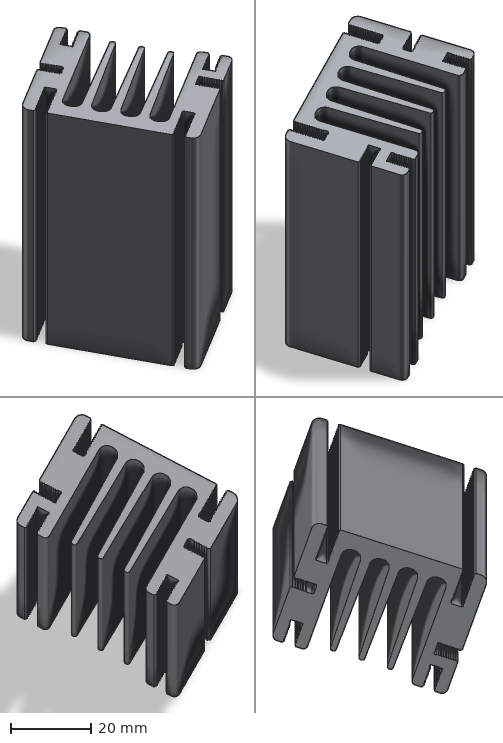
import cadquery as cq

length = 75.0
width = 46.0
height = 33.0
half_width = width / 2

post_width = 9.2
post_outer_radius = 1.5
post_inner_radius = 1.2
foot_radius = 2.0

base_thickness = 4.05
fin_pitch = 7.5
fin_count = 3
fin_tip_drop = 1.95
fin_tip_width = 1.5
fin_root_width = 2.55
fin_tip_radius = 0.7
channel_radius = 2.25

mouth_flare = 0.19
cut_overshoot = 0.75

wide_crest_gap = 2.6
wide_tooth_depth = 0.3
wide_tooth_pitch = 0.64
wide_first_tooth = 0.5
wide_stagger = wide_tooth_pitch / 2

post_slot_depth = 6.4
post_slot_teeth = 8
right_slot_y = 22.05

foot_slot_depth = 9.6
foot_slot_outer_teeth = 14
foot_slot_inner_teeth = 13
foot_slot_floor_bevel = 0.3
foot_slot_inset = 5.2

narrow_crest_gap = 2.2
narrow_tooth_depth = 0.26
narrow_tooth_pitch = 0.7
narrow_first_tooth = 0.75
narrow_slot_depth = 6.15
narrow_slot_teeth = 6
narrow_slot_floor_bevel = 0.4
narrow_slot_y = 17.0


def body():
    """Solid block with rounded long edges."""
    block = cq.Workplane("XY").box(width, height, length, centered=(True, False, False))
    block = block.edges("|Z and >Y").fillet(post_outer_radius)
    return block.edges("|Z and <Y").fillet(foot_radius)


def fin(x):
    """Tapered fin standing on the base, rounded at its tip."""
    tip_y = height - fin_tip_drop
    outline = [
        (x - fin_root_width / 2, base_thickness),
        (x + fin_root_width / 2, base_thickness),
        (x + fin_tip_width / 2, tip_y),
        (x - fin_tip_width / 2, tip_y),
    ]
    blade = cq.Workplane("XY").polyline(outline).close().extrude(length)
    return blade.edges("|Z and >Y").fillet(fin_tip_radius)


def fin_bay():
    """Space between the posts, less the fins, with rounded channel floors."""
    bay_width = width - 2 * post_width
    bay = (
        cq.Workplane("XY")
        .center(0, base_thickness)
        .box(bay_width, height - base_thickness, length, centered=(True, False, False))
    )
    for index in range(fin_count):
        bay = bay.cut(fin((index - (fin_count - 1) / 2) * fin_pitch))
    return bay.edges("|Z and <Y").fillet(channel_radius)


def round_inner_post_corners(part):
    """Round the top corner of each post that faces the fins."""
    for side in (-1, 1):
        corner = (side * (half_width - post_width), height, length / 2)
        part = part.edges(cq.selectors.NearestToPointSelector(corner)).fillet(post_inner_radius)
    return part


def serrated_wall(depth, crest, tooth_depth, pitch, first_tooth, teeth, floor_bevel):
    """One slot wall from mouth to floor as (distance inward, distance from slot axis)."""
    root = crest + tooth_depth
    points = [(-cut_overshoot, root + mouth_flare), (0, root + mouth_flare)]
    for index in range(teeth):
        tooth = first_tooth + index * pitch
        points.append((tooth, crest))
        points.append((tooth + pitch / 2, root))
    points.append((depth - floor_bevel, root))
    if floor_bevel > 0:
        points.append((depth, root - floor_bevel))
    return points


def slot_cutter(left_wall, right_wall, mouth, inward_angle):
    """Slot between two walls, named as seen when looking inward from the mouth."""
    outline = left_wall + [(inward, -across) for inward, across in reversed(right_wall)]
    slot = cq.Workplane("XY").polyline(outline).close().extrude(length)
    return slot.rotate((0, 0, 0), (0, 0, 1), inward_angle).translate((*mouth, 0))


def wide_wall(depth, first_tooth, teeth, floor_bevel=0):
    """Wall of a wide slot."""
    return serrated_wall(
        depth, wide_crest_gap / 2, wide_tooth_depth, wide_tooth_pitch, first_tooth, teeth, floor_bevel
    )


def narrow_wall(first_tooth):
    """Wall of the narrow slot."""
    return serrated_wall(
        narrow_slot_depth,
        narrow_crest_gap / 2,
        narrow_tooth_depth,
        narrow_tooth_pitch,
        first_tooth,
        narrow_slot_teeth,
        narrow_slot_floor_bevel,
    )


def narrow_side_slot():
    """Narrow slot in the -X face."""
    upper = narrow_wall(narrow_first_tooth - narrow_tooth_pitch / 2)
    lower = narrow_wall(narrow_first_tooth)
    return slot_cutter(upper, lower, (-half_width, narrow_slot_y), 0)


def wide_side_slot():
    """Wide slot in the +X face; its upper wall has one more tooth."""
    lower = wide_wall(post_slot_depth, wide_first_tooth, post_slot_teeth)
    upper = wide_wall(post_slot_depth, wide_first_tooth - wide_stagger, post_slot_teeth + 1)
    return slot_cutter(lower, upper, (half_width, right_slot_y), 180)


def left_post_slots():
    """Slots in the top and the foot of the -X post."""
    top_outer = wide_wall(post_slot_depth, wide_first_tooth, post_slot_teeth)
    top_inner = wide_wall(post_slot_depth, wide_first_tooth + wide_stagger, post_slot_teeth)
    top_slot = slot_cutter(top_inner, top_outer, (-half_width + post_width / 2, height), -90)

    foot_outer = wide_wall(foot_slot_depth, wide_first_tooth, foot_slot_outer_teeth, foot_slot_floor_bevel)
    foot_inner = wide_wall(
        foot_slot_depth, wide_first_tooth - wide_stagger, foot_slot_inner_teeth, foot_slot_floor_bevel
    )
    foot_slot = slot_cutter(foot_outer, foot_inner, (-half_width + foot_slot_inset, 0), 90)
    return [top_slot, foot_slot]


result = round_inner_post_corners(body().cut(fin_bay()))
result = result.cut(narrow_side_slot()).cut(wide_side_slot())
for post_slot in left_post_slots():
    result = result.cut(post_slot).cut(post_slot.mirror("YZ"))